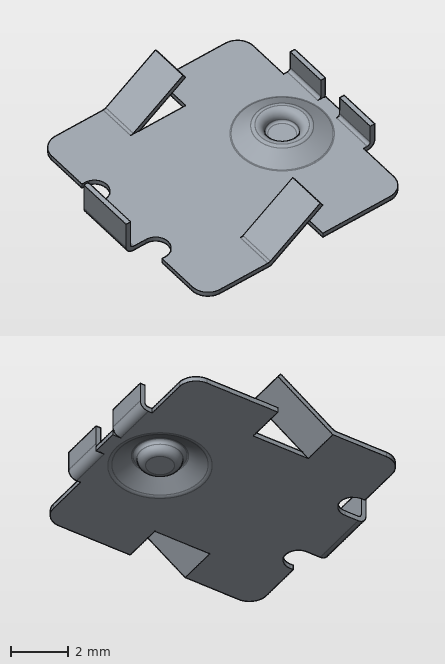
import cadquery as cq
import math

sheet = 0.2
width = 9.5
length = 10.16
back_y = length / 2
front_y = -length / 2
plate_back = back_y - 0.5
plate_front = front_y + 0.75
corner_radius = 0.7

bend_inner = 0.13
bend_outer = bend_inner + sheet
back_tab_height = 1.13
back_tab_inner_x = 0.54
back_tab_outer_x = 2.31
front_tab_height = 1.5
front_tab_half_width = 1.22
relief_width = back_tab_outer_x - front_tab_half_width
relief_top = plate_front + 0.68

tongue_width = 1.58
tongue_angle = math.radians(35)
tongue_height = 1.78
hinge_radius = 0.2
hinge_y = back_y - 6.47
hinge_top_y = hinge_y - sheet * math.tan(tongue_angle / 2)

dimple_y = back_y - 2.33
dimple_height = 0.65
floor_radius = 0.51
floor_fillet = 0.1
cone_angle = math.radians(30)
rim_radius = 0.3
foot_fillet = 0.08


def block(x0, x1, y0, y1):
    """Sheet-thick box between two corners, standing on the bottom plane."""
    return cq.Workplane("XY").box(x1 - x0, y1 - y0, sheet, centered=False).translate((x0, y0, 0))


def side_profile(x_start):
    """Workplane with local axes Y, Z that extrudes toward +X."""
    return cq.Workplane("YZ", origin=(x_start, 0, 0))


def upright_tab(x_start, tab_width, outer_y, outward, height):
    """Rounded 90-degree bend with a vertical leaf; outward is the sign of Y it faces."""
    diagonal = math.sqrt(0.5)
    axis_y = outer_y - outward * bend_outer
    inner_y = axis_y + outward * bend_inner
    return (
        side_profile(x_start)
        .moveTo(axis_y, 0)
        .threePointArc(
            (axis_y + outward * bend_outer * diagonal, bend_outer * (1 - diagonal)),
            (outer_y, bend_outer),
        )
        .lineTo(outer_y, height)
        .lineTo(inner_y, height)
        .lineTo(inner_y, bend_outer)
        .threePointArc(
            (axis_y + outward * bend_inner * diagonal, bend_outer - bend_inner * diagonal),
            (axis_y, sheet),
        )
        .close()
        .extrude(tab_width)
    )


def tongue(x_start):
    """Sheet bent up at the hinge and sloping toward the back, with the Y of its tip."""
    slope_length = (tongue_height - sheet * math.cos(tongue_angle)) / math.sin(tongue_angle)
    tip_y = hinge_y + slope_length * math.cos(tongue_angle)
    tip_z = slope_length * math.sin(tongue_angle)
    tangent = hinge_radius * math.tan(tongue_angle / 2)
    root_y = hinge_top_y - tangent
    bend_z = sheet + hinge_radius

    def bend_point(angle):
        return (root_y + hinge_radius * math.sin(angle), bend_z - hinge_radius * math.cos(angle))

    leaf = (
        side_profile(x_start)
        .moveTo(root_y, 0)
        .lineTo(hinge_y, 0)
        .lineTo(tip_y, tip_z)
        .lineTo(tip_y - sheet * math.sin(tongue_angle), tongue_height)
        .lineTo(*bend_point(tongue_angle))
        .threePointArc(bend_point(tongue_angle / 2), (root_y, sheet))
        .close()
        .extrude(tongue_width)
    )
    return leaf, tip_y


def dimple():
    """Revolved ring-shaped emboss of constant sheet thickness, and its foot radius."""
    mid_z = sheet + floor_fillet
    lip_radius = dimple_height - mid_z
    rim_r = floor_radius + floor_fillet + lip_radius
    rim_z = dimple_height - rim_radius
    foot_z = sheet + foot_fillet
    cone_run = (
        (rim_z - foot_z + (rim_radius + foot_fillet) * math.cos(cone_angle)) / math.tan(cone_angle)
    )
    foot_r = rim_r + (rim_radius + foot_fillet) * math.sin(cone_angle) + cone_run

    def on_arc(r, z, radius, angle):
        return (r + radius * math.sin(angle), z + radius * math.cos(angle))

    def surface_points(depth):
        """Ends and middles of the four arcs of the surface lying depth below the top."""
        arcs = [
            (floor_radius, mid_z, floor_fillet + depth, math.pi, math.pi / 2),
            (rim_r, mid_z, lip_radius - depth, -math.pi / 2, 0),
            (rim_r, rim_z, rim_radius - depth, 0, cone_angle),
            (foot_r, foot_z, foot_fillet + depth, math.pi + cone_angle, math.pi),
        ]
        return [
            [on_arc(r, z, radius, angle) for angle in (start, (start + end) / 2, end)]
            for r, z, radius, start, end in arcs
        ]

    floor_arc, lip_arc, rim_arc, foot_arc = surface_points(0)
    profile = cq.Workplane("XZ").moveTo(0, 0).lineTo(0, sheet).lineTo(*floor_arc[0])
    for arc in (floor_arc, lip_arc, rim_arc):
        profile = profile.threePointArc(*arc[1:])
    profile = profile.lineTo(*foot_arc[0]).threePointArc(*foot_arc[1:])

    floor_arc, lip_arc, rim_arc, foot_arc = surface_points(sheet)
    profile = profile.lineTo(*foot_arc[2]).threePointArc(foot_arc[1], foot_arc[0])
    profile = profile.lineTo(*rim_arc[2])
    for arc in (rim_arc, lip_arc, floor_arc):
        profile = profile.threePointArc(arc[1], arc[0])
    emboss = profile.close().revolve(360, (0, 0), (0, 1))
    return emboss.translate((0, dimple_y, 0)), foot_r


plate = block(-width / 2, width / 2, plate_front, plate_back).edges("|Z").fillet(corner_radius)
back_bend_y = back_y - bend_outer
plate = plate.union(block(-back_tab_outer_x, back_tab_outer_x, dimple_y, back_bend_y))
plate = plate.union(block(-back_tab_inner_x, back_tab_inner_x, dimple_y, back_y))
plate = plate.union(
    block(-front_tab_half_width, front_tab_half_width, front_y + bend_outer, relief_top)
)

relief_radius = relief_width / 2
for side in (-1, 1):
    relief_x = side * (front_tab_half_width + relief_radius)
    relief_y = relief_top - relief_radius
    plate = plate.cut(cq.Workplane("XY").center(relief_x, relief_y).circle(relief_radius).extrude(sheet))
    plate = plate.cut(
        block(relief_x - relief_radius, relief_x + relief_radius, front_y, relief_y)
    )

for tongue_x in (-width / 2, width / 2 - tongue_width):
    leaf, tip_y = tongue(tongue_x)
    plate = plate.cut(block(tongue_x, tongue_x + tongue_width, hinge_top_y, tip_y))
    plate = plate.union(leaf)

back_tab_width = back_tab_outer_x - back_tab_inner_x
for tab_x in (-back_tab_outer_x, back_tab_inner_x):
    plate = plate.union(upright_tab(tab_x, back_tab_width, back_y, 1, back_tab_height))
plate = plate.union(
    upright_tab(-front_tab_half_width, 2 * front_tab_half_width, front_y, -1, front_tab_height)
)

emboss, foot_r = dimple()
plate = plate.cut(cq.Workplane("XY").center(0, dimple_y).circle(foot_r).extrude(sheet))
result = plate.union(emboss)